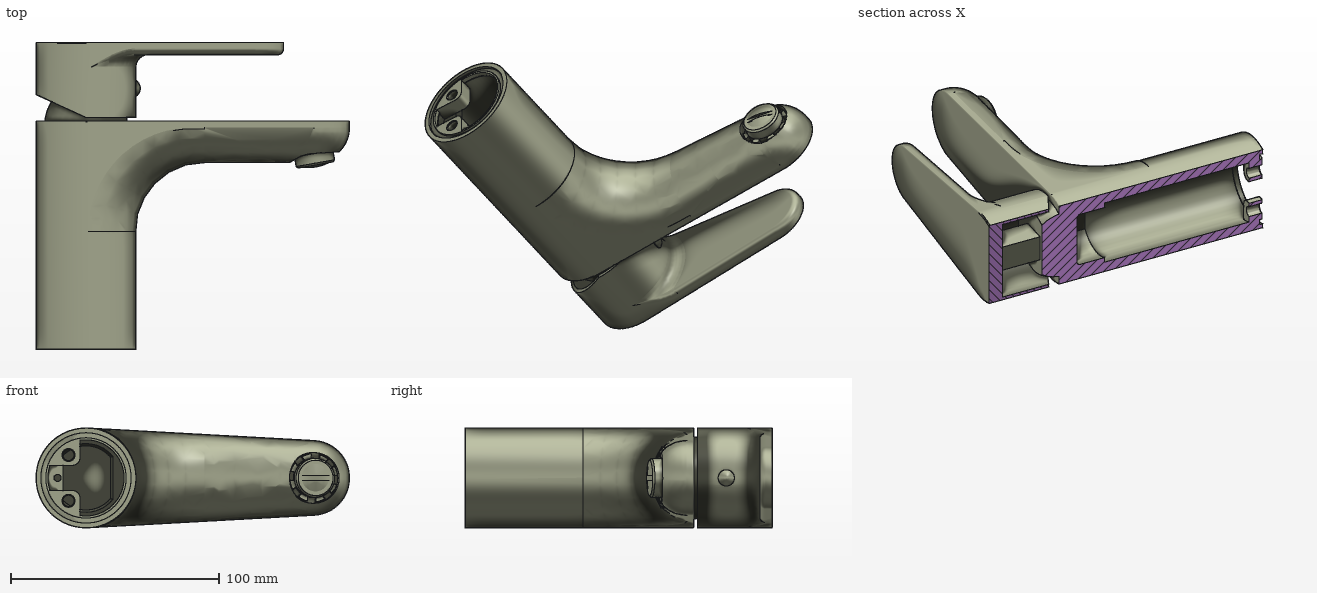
import cadquery as cq
import math


column_radius = 24.0
column_top = 109.8
rim_rounding = 0.5

tip_x = 126.58
tip_radius = 18.0
tip_center_x = tip_x - tip_radius
plate_bottom = 106.5
belly_depth = 16.8
elbow_inner_radius = 33.0
elbow_center_x = column_radius + elbow_inner_radius
elbow_center_y = plate_bottom - belly_depth - elbow_inner_radius
elbow_stations = 7
web_overlap = 0.5

aerator_tilt = 10.0
aerator_face_x = 110.3
aerator_face_y = 88.6
aerator_radius = 9.4
aerator_chamfer = 0.9
aerator_height = 8.0
aerator_root = 1.0
seat_radius = 12.2
seat_flange_radius = 11.6
seat_flange_height = 2.5
seat_notch_count = 8
seat_notch_width = 4.2
seat_notch_turn = 5.0
bulge_radius = 6.6
bulge_height = 1.0
slot_width = 2.3

groove_outer_radius = 21.7
groove_inner_radius = 19.3
groove_depth = 1.5
lip_setback = 0.3
lip_inner_radius = 18.3
lip_end = 2.9
bore_radius = 18.8
bore_end = 85.0
seat_bore_radius = 16.5
seat_bore_flat_x = 12.9
seat_bore_chamfer = 1.1
seat_bore_end = 100.0
bracket_edge_x = -2.9
bracket_end = 7.5
bracket_gap = 12.1
bracket_rounding = 3.6
bracket_hole_x = -8.4
bracket_hole_z = 11.0
bracket_hole_radius = 2.7
bracket_hole_chamfer = 0.4
shelf_edge_x = -11.1
shelf_thickness = 5.0
shelf_hole_x = -13.6
shelf_hole_radius = 1.7

dome_radius = 19.9
dome_center_y = 108.0
dome_top = 119.0
stem_width = 13.2

handle_radius = column_radius
handle_bottom = 111.5
handle_top = 147.5
slant_start_x = -0.2
slant_rise = 10.9
cavity_radius = 22.3
cavity_top = 140.0
lever_tip_x = 94.9
lever_tip_radius = 15.0
lever_bottom = 141.5
lever_rounding = 2.9
cove_radius = 5.8
button_y = 125.4
button_radius = 3.9
button_height = 2.2
button_root = 1.0


def y_cylinder(radius, y_start, y_end, x=0.0, z=0.0):
    """Cylinder along Y between two heights."""
    direction = cq.Vector(0, 1, 0)
    return cq.Workplane(cq.Solid.makeCylinder(radius, y_end - y_start, cq.Vector(x, y_start, z), direction))


def y_plane(y):
    """Workplane at height y whose local X axis is X and whose normal is +Y."""
    return cq.Workplane(cq.Plane(origin=(0, y, 0), xDir=(1, 0, 0), normal=(0, 1, 0)))


def y_block(x_start, x_end, z_width, y_start, y_end):
    """Box centred on Z = 0."""
    size = (x_end - x_start, y_end - y_start, z_width)
    return cq.Workplane().box(*size, centered=(False, False, True)).translate((x_start, y_start, 0))


def taper_sine(end_radius, end_x):
    """Sine of the angle between X and the tangent line of the column circle and an end circle."""
    return (column_radius - end_radius) / end_x


def tapered_prism(end_radius, end_x, y_start, y_end):
    """Column circle and a smaller end circle joined by tangent lines, extruded along Y."""
    sine = taper_sine(end_radius, end_x)
    cosine = math.sqrt(1 - sine**2)
    root = (column_radius * sine, column_radius * cosine)
    end = (end_x + end_radius * sine, end_radius * cosine)
    outline = (
        y_plane(y_start)
        .moveTo(root[0], -root[1])
        .lineTo(end[0], -end[1])
        .threePointArc((end_x + end_radius, 0), end)
        .lineTo(*root)
        .threePointArc((-column_radius, 0), (root[0], -root[1]))
        .close()
    )
    return outline.extrude(y_end - y_start)



spout_sine = taper_sine(tip_radius, tip_center_x)
spout_cosine = math.sqrt(1 - spout_sine**2)
spout_start_x = column_radius * spout_sine
spout_end_x = tip_center_x + tip_radius * spout_sine
elbow_outer_radius = plate_bottom - elbow_center_y
elbow_outer_center_x = spout_start_x + elbow_outer_radius


def spout_half_width(x):
    """Half width of the tapering spout at a distance along X."""
    return (column_radius - x * spout_sine) / spout_cosine


def belly_section(chord_x, chord_y, depth, direction):
    """Half ellipse standing on a chord parallel to Z and bulging along an XY direction."""
    half_width = spout_half_width(chord_x)
    plane = cq.Plane(
        origin=(chord_x, chord_y, 0),
        xDir=(direction[0], direction[1], 0),
        normal=(direction[1], -direction[0], 0),
    )
    outline = (
        cq.Workplane(plane)
        .moveTo(0, -half_width)
        .ellipseArc(depth, half_width, -90, 90, startAtCurrent=True)
        .close()
    )
    return outline.val()


def elbow_reach(angle):
    """Distance from the elbow's centre to its outer side: an arc that runs out into a straight line."""
    offset = elbow_center_x - elbow_outer_center_x
    along = offset * math.cos(angle)
    across = offset * math.sin(angle)
    reach = along + math.sqrt(elbow_outer_radius**2 - across**2)
    if reach * math.cos(angle) < offset:
        reach = elbow_outer_radius / math.sin(angle)
    return reach


def elbow_section(angle):
    """Section of the elbow, turned by an angle from the column to the spout."""
    cosine = math.cos(angle)
    sine = math.sin(angle)
    reach = elbow_reach(angle)
    chord_x = elbow_center_x - reach * cosine
    chord_y = elbow_center_y + reach * sine
    return belly_section(chord_x, chord_y, reach - elbow_inner_radius, (cosine, -sine))


def make_web():
    """Flat-sided part above the elbow and along the spout's top."""
    outer = tapered_prism(tip_radius, tip_center_x, elbow_center_y, column_top)
    outer = outer.faces(">Y").edges().fillet(rim_rounding)
    radius = elbow_outer_radius - web_overlap
    diagonal = radius * math.sqrt(0.5)
    below = (
        cq.Workplane()
        .moveTo(elbow_outer_center_x - radius, elbow_center_y)
        .threePointArc(
            (elbow_outer_center_x - diagonal, elbow_center_y + diagonal),
            (elbow_outer_center_x, elbow_center_y + radius),
        )
        .lineTo(elbow_center_x, elbow_center_y + radius)
        .lineTo(elbow_center_x, plate_bottom)
        .lineTo(tip_x + 1, plate_bottom)
        .lineTo(tip_x + 1, elbow_center_y)
        .close()
        .extrude(column_radius + 1, both=True)
    )
    return outer.cut(below)


def make_belly():
    """Rounded underside: elbow, tapering arm and tip."""
    quarter_turn = math.pi / 2
    steps = elbow_stations - 1
    sections = [elbow_section(quarter_turn * i / steps) for i in range(elbow_stations)]
    elbow = cq.Solid.makeLoft(sections)

    end_depth = belly_depth * spout_cosine
    arm_end = belly_section(spout_end_x, plate_bottom, end_depth, (0, -1))
    arm = cq.Solid.makeLoft([sections[-1], arm_end], True)

    tip = (
        cq.Workplane()
        .moveTo(0, 0)
        .lineTo(tip_radius, 0)
        .ellipseArc(tip_radius, belly_depth, -90, 0, sense=-1, startAtCurrent=True)
        .close()
        .revolve(360, (0, 0), (0, 1))
        .translate((tip_center_x, plate_bottom, 0))
    )
    return cq.Workplane(elbow).union(cq.Workplane(arm)).union(tip)


aerator_angle = math.radians(aerator_tilt)
aerator_plane = cq.Plane(
    origin=(aerator_face_x, aerator_face_y, 0),
    xDir=(math.cos(aerator_angle), math.sin(aerator_angle), 0),
    normal=(-math.sin(aerator_angle), math.cos(aerator_angle), 0),
)


def make_aerator_seat():
    """Tilted round pocket in the spout's underside."""
    pocket_start = -aerator_height
    return (
        cq.Workplane(aerator_plane)
        .workplane(offset=pocket_start)
        .circle(seat_radius)
        .extrude(aerator_height - pocket_start)
    )


def make_aerator():
    """Nozzle with a notched flange at its root and a slotted bulge on its face."""
    nozzle = cq.Workplane(aerator_plane).circle(aerator_radius).extrude(aerator_height + aerator_root)
    nozzle = nozzle.faces("<Y").edges().chamfer(aerator_chamfer)

    bulge = (
        cq.Workplane()
        .lineTo(0, -bulge_height)
        .threePointArc((bulge_radius / 2, -0.75 * bulge_height), (bulge_radius, 0))
        .close()
        .revolve(360, (0, 0), (0, 1))
    )
    bulge = bulge.rotate((0, 0, 0), (0, 0, 1), aerator_tilt).translate(aerator_plane.origin.toTuple())
    slot = (
        cq.Workplane(aerator_plane)
        .workplane(offset=-bulge_height)
        .rect(2 * bulge_radius, slot_width)
        .extrude(bulge_height)
    )
    nozzle = nozzle.union(bulge).cut(slot)

    flange_start = aerator_height - seat_flange_height
    flange = (
        cq.Workplane(aerator_plane)
        .workplane(offset=flange_start)
        .circle(seat_flange_radius)
        .extrude(seat_flange_height + aerator_root)
    )
    notches = (
        cq.Workplane(aerator_plane)
        .workplane(offset=flange_start)
        .polarArray(seat_flange_radius, seat_notch_turn, 360, seat_notch_count)
        .rect(2 * (seat_flange_radius - aerator_radius), seat_notch_width)
        .extrude(seat_flange_height)
    )
    return nozzle.union(flange.cut(notches))


def make_brackets():
    """Two screw lugs left standing in the bore, with a drilled shelf between them."""
    lugs = y_block(-column_radius, bracket_edge_x, 2 * column_radius, lip_setback, bracket_end)
    gap = y_block(-column_radius, bracket_edge_x, bracket_gap, lip_setback, bracket_end)
    lugs = lugs.cut(gap)
    half_gap = bracket_gap / 2 + 1
    corner_box = cq.selectors.BoxSelector(
        (bracket_edge_x - 1, 0, -half_gap), (bracket_edge_x + 1, bracket_end + 1, half_gap)
    )
    lugs = lugs.edges("|Y").edges(corner_box).fillet(bracket_rounding)
    for side in (-1, 1):
        place = (bracket_hole_x, side * bracket_hole_z)
        hole = y_cylinder(bracket_hole_radius, lip_setback, bracket_end, *place)
        rim_radius = bracket_hole_radius + bracket_hole_chamfer
        rim = y_cylinder(rim_radius, lip_setback, lip_setback + bracket_hole_chamfer, *place)
        rim = rim.faces(">Y").edges().chamfer(bracket_hole_chamfer * 0.99)
        lugs = lugs.cut(hole).cut(rim)

    shelf_end = bracket_end + shelf_thickness
    shelf = y_block(-column_radius, shelf_edge_x, 2 * column_radius, bracket_end, shelf_end)
    shelf = shelf.cut(y_cylinder(shelf_hole_radius, 0, shelf_end, shelf_hole_x))
    return lugs.union(shelf)


def make_bore():
    """Hollow from the column's foot, around the brackets, up to the cartridge seat."""
    mouth = y_cylinder(groove_outer_radius, 0, groove_depth)
    lip = y_cylinder(groove_inner_radius, lip_setback, groove_depth)
    lower = mouth.cut(lip).union(y_cylinder(lip_inner_radius, 0, lip_end))
    lower = lower.union(y_cylinder(bore_radius, lip_end, bore_end))
    brackets = make_brackets().intersect(y_cylinder(groove_inner_radius, 0, bore_end))
    lower = lower.cut(brackets)

    seat = y_cylinder(seat_bore_radius, bore_end, seat_bore_end)
    seat = seat.cut(y_block(seat_bore_flat_x, column_radius, 2 * column_radius, bore_end, seat_bore_end))
    seat = seat.faces(">Y").edges().chamfer(seat_bore_chamfer)
    return lower.union(seat)


def make_cartridge():
    """Ball-shaped dome with a flat top, carrying the square lever stem."""
    dome = cq.Workplane().sphere(dome_radius).translate((0, dome_center_y, 0))
    dome = dome.intersect(y_cylinder(column_radius, dome_center_y, dome_top))
    stem = y_block(-stem_width / 2, stem_width / 2, stem_width, dome_top - 1, cavity_top)
    return dome.union(stem)


def make_body():
    """Column, spout, aerator, bore and cartridge as one solid."""
    column = y_cylinder(column_radius, 0, column_top).faces(">Y").edges().fillet(rim_rounding)
    body = column.union(make_web()).union(make_belly())
    body = body.cut(make_aerator_seat()).union(make_aerator())
    return body.cut(make_bore()).union(make_cartridge())




def make_lever():
    """Tapered plate on top of the handle, blended into the barrel by a cove."""
    lever_tip_center_x = lever_tip_x - lever_tip_radius
    cove_bottom = lever_bottom - cove_radius
    lever = tapered_prism(lever_tip_radius, lever_tip_center_x, cove_bottom, handle_top)
    lever = lever.faces(">Y").edges().fillet(rim_rounding)
    diagonal = cove_radius * math.sqrt(0.5)
    cove_center_x = handle_radius + cove_radius
    underside = (
        cq.Workplane()
        .moveTo(handle_radius, cove_bottom)
        .threePointArc((cove_center_x - diagonal, cove_bottom + diagonal), (cove_center_x, lever_bottom))
        .lineTo(lever_tip_x + 1, lever_bottom)
        .lineTo(lever_tip_x + 1, cove_bottom)
        .close()
        .revolve(360, (0, 0), (0, 1))
    )
    lever = lever.cut(underside)
    tip_corner = cq.selectors.NearestToPointSelector((lever_tip_x, lever_bottom, 0))
    return lever.edges(tip_corner).fillet(lever_rounding)


def make_slant():
    """Wedge cut from the back of the barrel's lower edge."""
    slope = slant_rise / (handle_radius + slant_start_x)
    back_x = -handle_radius - 1
    return (
        cq.Workplane()
        .moveTo(slant_start_x, handle_bottom)
        .lineTo(back_x, handle_bottom + slope * (slant_start_x - back_x))
        .lineTo(back_x, handle_bottom)
        .close()
        .extrude(handle_radius + 1, both=True)
    )


def make_button():
    """Domed cap of the grub screw at the front of the barrel."""
    cap = (
        cq.Workplane()
        .moveTo(handle_radius - button_root, 0)
        .lineTo(handle_radius + button_height, 0)
        .threePointArc((handle_radius + button_height * 0.75, button_radius / 2), (handle_radius, button_radius))
        .lineTo(handle_radius - button_root, button_radius)
        .close()
        .revolve(360, (0, 0), (1, 0))
    )
    return cap.translate((0, button_y, 0))


def make_handle():
    """Hollow barrel with its lever, slanted back edge and screw cap as one solid."""
    barrel = y_cylinder(handle_radius, handle_bottom, handle_top).faces(">Y").edges().fillet(rim_rounding)
    handle = barrel.union(make_lever()).cut(make_slant())
    return handle.cut(y_cylinder(cavity_radius, handle_bottom, cavity_top)).union(make_button())


body = make_body()
handle = make_handle()
result = cq.Compound.makeCompound([body.val(), handle.val()])